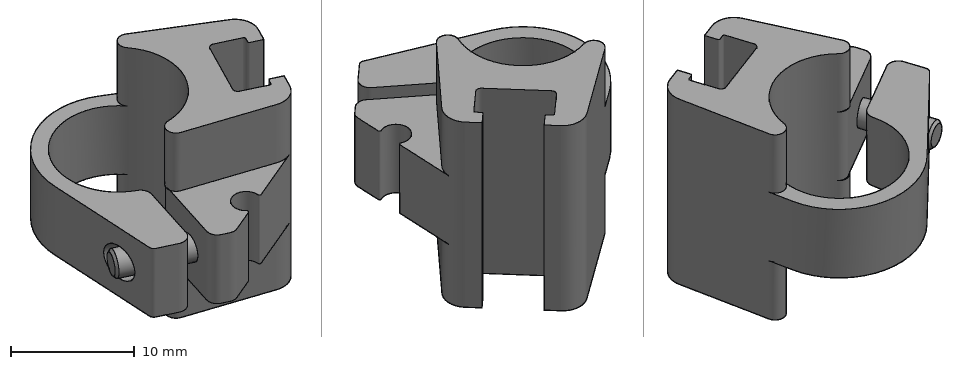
import cadquery as cq
import math

block_height = 19.0
bore_radius = 5.65
ring_radius = 7.1
block_top = 13.28
side_taper = math.radians(6.3)
top_corner_radius = 2.0
tip_radius = 0.92

slot_mouth_width = 5.02
slot_width = 6.53
slot_floor = 8.77
lip_thickness = 1.35
slot_floor_radius = 0.45
slot_lip_radius = 0.16

clamp_height = 7.04
clamp_right = 13.3
ear_slope = math.radians(42.5)
gap_slope = math.radians(10)
gap_top_intercept = 1.02
gap_bottom_intercept = -0.53
arm_slope = math.radians(24.7)
end_radius = 1.0
arm_bottom_radius = 0.5

screw_x = 9.81
screw_diameter = 2.5
screw_end = -4.0
screw_chamfer = 0.25
clearance_diameter = 3.3
notch_diameter = 2.5
notch_y = 7.53
notch_edge_radius = 0.16

tip_distance = bore_radius + tip_radius
tip_angle = side_taper + math.acos((ring_radius - tip_radius) / tip_distance)
tip_x = tip_distance * math.cos(tip_angle)
tip_y = tip_distance * math.sin(tip_angle)

ear_tip_rise = gap_top_intercept * math.cos(gap_slope) + tip_radius
ear_tip_angle = gap_slope + math.asin(ear_tip_rise / tip_distance)
ear_tip_x = tip_distance * math.cos(ear_tip_angle)
ear_tip_y = tip_distance * math.sin(ear_tip_angle)

corner_y = block_top - top_corner_radius
corner_x = (ring_radius - top_corner_radius - corner_y * math.sin(side_taper)) / math.cos(side_taper)


def on_circle(center_x, center_y, radius, angle):
    return (center_x + radius * math.cos(angle), center_y + radius * math.sin(angle))


def mirrored(point):
    return (-point[0], point[1])


def gap_point(x, intercept):
    return (x, intercept + x * math.tan(gap_slope))


def centered_prism(sketch, height):
    return sketch.extrude(height / 2, both=True)


def prism(points, height):
    return centered_prism(cq.Workplane("XY").polyline(points).close(), height)


def cylinder(x, y, radius, height):
    return centered_prism(cq.Workplane("XY").center(x, y).circle(radius), height)


def round_edge(body, point, radius):
    edge = cq.selectors.NearestToPointSelector((point[0], point[1], 0))
    return body.edges("|Z").edges(edge).fillet(radius)


def ear_tip_foot():
    return on_circle(ear_tip_x, ear_tip_y, tip_radius, gap_slope - math.pi / 2)


def ear_tip():
    return cylinder(ear_tip_x, ear_tip_y, tip_radius, clamp_height)


def make_tip_trim():
    gap_side = prism(
        [
            (0, 0),
            gap_point(clamp_right, gap_bottom_intercept),
            gap_point(clamp_right, gap_top_intercept),
            ear_tip_foot(),
            (ear_tip_x, ear_tip_y),
        ],
        clamp_height,
    )
    return gap_side.cut(ear_tip())


def make_block():
    corner_top = (corner_x, block_top)
    corner_middle = on_circle(corner_x, corner_y, top_corner_radius, (side_taper + math.pi / 2) / 2)
    corner_side = on_circle(corner_x, corner_y, top_corner_radius, side_taper)
    tip_side = on_circle(tip_x, tip_y, tip_radius, side_taper)
    tip_bottom = (tip_x, tip_y - tip_radius)
    tip_bore = on_circle(0, 0, bore_radius, tip_angle)
    outline = (
        cq.Workplane("XY")
        .moveTo(*mirrored(corner_top))
        .lineTo(*corner_top)
        .threePointArc(corner_middle, corner_side)
        .lineTo(*tip_side)
        .threePointArc(tip_bottom, tip_bore)
        .threePointArc((0, bore_radius), mirrored(tip_bore))
        .threePointArc(mirrored(tip_bottom), mirrored(tip_side))
        .lineTo(*mirrored(corner_side))
        .threePointArc(mirrored(corner_middle), mirrored(corner_top))
        .close()
    )
    body = centered_prism(outline, block_height)

    mouth_half = slot_mouth_width / 2
    slot_half = slot_width / 2
    lip_y = block_top - lip_thickness
    mouth = prism(
        [(-mouth_half, slot_floor), (mouth_half, slot_floor), (mouth_half, block_top), (-mouth_half, block_top)],
        block_height,
    )
    cavity = prism(
        [(-slot_half, slot_floor), (slot_half, slot_floor), (slot_half, lip_y), (-slot_half, lip_y)],
        block_height,
    )
    body = body.cut(mouth).cut(cavity)
    for side in (-1, 1):
        body = round_edge(body, (side * slot_half, slot_floor), slot_floor_radius)
        body = round_edge(body, (side * slot_half, lip_y), slot_lip_radius)
        body = round_edge(body, (side * mouth_half, lip_y), slot_lip_radius)
    return body.cut(make_tip_trim())


def make_ring_and_arm():
    ring = cylinder(0, 0, ring_radius, clamp_height)
    opening = prism(
        [
            (0, gap_bottom_intercept),
            gap_point(clamp_right, gap_bottom_intercept),
            (clamp_right, block_top),
            (0, block_top),
        ],
        clamp_height,
    )
    ring_tangent = mirrored(on_circle(0, 0, ring_radius, side_taper))
    tip_side = mirrored(on_circle(tip_x, tip_y, tip_radius, side_taper))
    side_fill = prism([(0, 0), ring_tangent, tip_side, (-tip_x, tip_y)], clamp_height)

    arm_bottom = (clamp_right, (clamp_right * math.sin(arm_slope) - ring_radius) / math.cos(arm_slope))
    arm_top = gap_point(clamp_right, gap_bottom_intercept)
    arm_tangent = on_circle(0, 0, ring_radius, arm_slope - math.pi / 2)
    arm = prism([(0, gap_bottom_intercept), arm_tangent, arm_bottom, arm_top], clamp_height)

    body = ring.cut(opening).union(side_fill).union(arm)
    body = body.cut(cylinder(0, 0, bore_radius, clamp_height))
    body = round_edge(body, arm_bottom, arm_bottom_radius)
    body = round_edge(body, arm_top, end_radius)
    body = round_edge(body, gap_point(bore_radius, gap_bottom_intercept), end_radius)
    clearance = (
        cq.Workplane("XZ")
        .center(screw_x, 0)
        .circle(clearance_diameter / 2)
        .extrude(block_top, both=True)
    )
    return body.cut(clearance)


def make_ear():
    ear_normal = math.pi / 2 - ear_slope
    top_start = on_circle(corner_x, corner_y, top_corner_radius, ear_normal)
    top_end = (clamp_right, top_start[1] - (clamp_right - top_start[0]) * math.tan(ear_slope))
    bottom_end = gap_point(clamp_right, gap_top_intercept)
    body = prism(
        [(corner_x, corner_y), top_start, top_end, bottom_end, ear_tip_foot(), (ear_tip_x, ear_tip_y)],
        clamp_height,
    )
    for corner in (top_end, bottom_end):
        body = round_edge(body, corner, end_radius)

    notch_radius = notch_diameter / 2
    body = body.cut(cylinder(screw_x, notch_y, notch_radius, clamp_height))
    face_distance = (
        top_corner_radius
        - (screw_x - corner_x) * math.cos(ear_normal)
        - (notch_y - corner_y) * math.sin(ear_normal)
    )
    half_opening = math.acos(face_distance / notch_radius)
    for side in (-1, 1):
        edge = on_circle(screw_x, notch_y, notch_radius, ear_normal + side * half_opening)
        body = round_edge(body, edge, notch_edge_radius)
    return body.union(ear_tip())


def make_screw():
    screw_top = gap_point(screw_x, gap_top_intercept)[1] + screw_diameter / 2
    return (
        cq.Workplane("XZ", origin=(screw_x, screw_end, 0))
        .circle(screw_diameter / 2)
        .extrude(screw_end - screw_top)
        .faces("<Y")
        .chamfer(screw_chamfer)
    )


result = make_block().union(make_ring_and_arm()).union(make_ear()).union(make_screw())